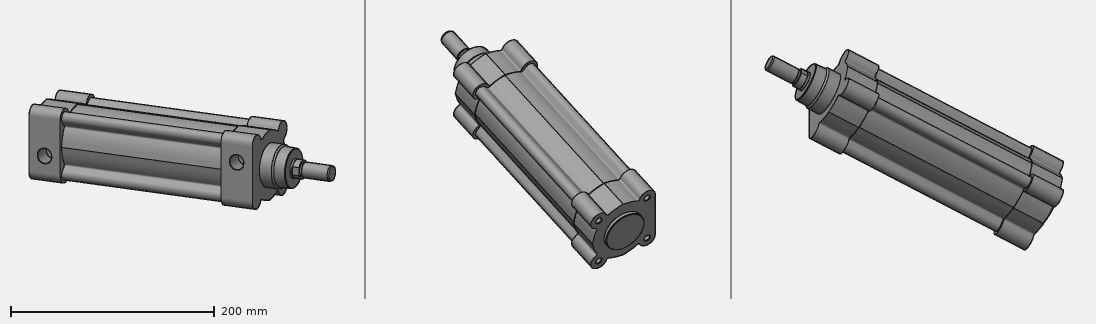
import cadquery as cq
import math


REAR_CAP_START = 4.0
CAP_LENGTH = 34.5
BARREL_START = REAR_CAP_START + CAP_LENGTH
BARREL_END = 215.5
FRONT_CAP_END = BARREL_END + CAP_LENGTH
TOTAL_LENGTH = 319.0

CORNERS = 4

CAP_BODY_RADIUS = 35.0
CAP_RIDGE_HALF_WIDTH = 8.0
CAP_LOBE_OFFSET = 28.5
CAP_LOBE_RADIUS = 9.5
CAP_FILLET = 2.0
CAP_SIDE = CAP_LOBE_OFFSET + CAP_LOBE_RADIUS

BARREL_RADIUS = 34.5
BARREL_RIDGE_HALF_WIDTH = 6.5
BARREL_LOBE_OFFSET = 28.7
BARREL_LOBE_RADIUS = 6.0
BARREL_FILLET = 1.5

BOSS_RADIUS = 22.3
BOSS_CHAMFER = 0.5
SCREW_HOLE_RADIUS = 3.2
SCREW_HOLE_CHAMFER = 0.5

PORT_RADIUS = 7.5
PORT_CHAMFER = 0.3
PORT_DEPTH = 19.0
PORT_HEIGHT = 10.2

COLLAR_RADIUS = BOSS_RADIUS
COLLAR_STRAIGHT_END = 263.2
NOSE_START = 265.0
NOSE_END = 277.2
NOSE_BASE_RADIUS = 20.7
NOSE_TIP_RADIUS = 20.0
NOSE_CHAMFER = 0.5

ROD_RADIUS = 10.0
FLATS_START = 279.8
FLATS_RADIUS = 9.5
FLATS_END = 286.8
FLATS_HALF_WIDTH = 8.5
FLATS_RAMP = 1.0
NECK_RADIUS = 7.3
THREAD_START = 288.7
THREAD_RADIUS = 8.0
THREAD_START_CHAMFER = THREAD_RADIUS - NECK_RADIUS
THREAD_END_CHAMFER_LENGTH = 1.5
THREAD_END_RADIUS = 7.3


def corner_point(along, across, corner):
    """Turn distances along and across a corner's diagonal into (Y, Z)."""
    angle = math.radians(45 + 360 / CORNERS * corner)
    y = along * math.cos(angle) - across * math.sin(angle)
    z = along * math.sin(angle) + across * math.cos(angle)
    return (y, z)


def arc_middle(center, radius, start, end):
    """Middle of the short arc from start to end about center."""
    dx = start[0] + end[0] - 2 * center[0]
    dy = start[1] + end[1] - 2 * center[1]
    scale = radius / math.hypot(dx, dy)
    return (center[0] + dx * scale, center[1] + dy * scale)


def lobed_outline(body_radius, ridge_half_width, lobe_offset, lobe_radius, fillet, straight_neck):
    """Closed YZ outline: a round body, a shallow ridge on each side and a lobe on each corner.

    One half corner is worked out as (along, across) its diagonal, then mirrored and turned.
    The ridge flats are tangent to the body. Each lobe is blended to the body by a concave
    fillet, either directly or by a straight neck as wide as the lobe.
    """
    lobe_along = lobe_offset * math.sqrt(2)
    center_reach = body_radius + fillet
    if straight_neck:
        fillet_across = lobe_radius + fillet
        fillet_along = math.sqrt(center_reach**2 - fillet_across**2)
        fillet_end = (fillet_along, lobe_radius)
        lobe_start = (lobe_along, lobe_radius)
    else:
        lobe_reach = lobe_radius + fillet
        fillet_along = (center_reach**2 - lobe_reach**2 + lobe_along**2) / (2 * lobe_along)
        fillet_across = math.sqrt(center_reach**2 - fillet_along**2)
        share = lobe_radius / lobe_reach
        fillet_end = (lobe_along + (fillet_along - lobe_along) * share, fillet_across * share)
        lobe_start = fillet_end
    fillet_center = (fillet_along, fillet_across)
    body_end = tuple(part * body_radius / center_reach for part in fillet_center)
    fillet_middle = arc_middle(fillet_center, fillet, body_end, fillet_end)

    ridge_angle = math.asin(ridge_half_width / body_radius)
    apex_part = body_radius / math.cos(ridge_angle) / math.sqrt(2)
    apex = (apex_part, apex_part)
    tangent_angle = math.pi / 4 - ridge_angle
    ridge_end = (body_radius * math.cos(tangent_angle), body_radius * math.sin(tangent_angle))
    body_middle = arc_middle((0, 0), body_radius, ridge_end, body_end)
    lobe_tip = (lobe_along + lobe_radius, 0)

    outline = cq.Workplane("YZ").moveTo(*corner_point(apex[0], -apex[1], 0))
    for corner in range(CORNERS):

        def leading(point):
            return corner_point(point[0], -point[1], corner)

        def trailing(point):
            return corner_point(point[0], point[1], corner)

        outline = outline.lineTo(*leading(ridge_end))
        outline = outline.threePointArc(leading(body_middle), leading(body_end))
        outline = outline.threePointArc(leading(fillet_middle), leading(fillet_end))
        if straight_neck:
            outline = outline.lineTo(*leading(lobe_start))
        outline = outline.threePointArc(leading(lobe_tip), trailing(lobe_start))
        if straight_neck:
            outline = outline.lineTo(*trailing(fillet_end))
        outline = outline.threePointArc(trailing(fillet_middle), trailing(body_end))
        outline = outline.threePointArc(trailing(body_middle), trailing(ridge_end))
        if corner < CORNERS - 1:
            outline = outline.lineTo(*trailing(apex))
    return outline.close()


def disc(start, end, radius):
    """Cylinder on the axis from start to end."""
    return cq.Workplane("YZ", origin=(start, 0, 0)).circle(radius).extrude(end - start)


def turned(profile):
    """Solid of revolution about the axis from (X, radius) points."""
    return cq.Workplane("XY").polyline(profile).close().revolve(360, (0, 0, 0), (1, 0, 0))


def cap_block(start, port_height):
    """Lobed cap with a flat -Y side and one air port in that side."""
    outline = lobed_outline(
        CAP_BODY_RADIUS, CAP_RIDGE_HALF_WIDTH, CAP_LOBE_OFFSET, CAP_LOBE_RADIUS, CAP_FILLET, False
    )
    lobed = outline.extrude(CAP_LENGTH).translate((start, 0, 0))
    flat_side = cq.Workplane("XY").box(
        CAP_LENGTH, CAP_SIDE, 2 * CAP_LOBE_OFFSET, centered=(False, False, True)
    ).translate((start, -CAP_SIDE, 0))
    port_mouth = cq.Workplane("XZ", origin=(start + CAP_LENGTH / 2, -CAP_SIDE, port_height))
    port = port_mouth.circle(PORT_RADIUS).extrude(-PORT_DEPTH)
    bevel = (
        port_mouth.circle(PORT_RADIUS + PORT_CHAMFER)
        .workplane(offset=-PORT_CHAMFER)
        .circle(PORT_RADIUS)
        .loft()
    )
    return lobed.union(flat_side).cut(port).cut(bevel)


def make_rear_cap():
    """Cap with a round boss on its outer face and a bevelled screw hole in each lobe."""
    boss = disc(0, REAR_CAP_START, BOSS_RADIUS).faces("<X").chamfer(BOSS_CHAMFER)
    cap = cap_block(REAR_CAP_START, -PORT_HEIGHT).union(boss)
    chamfer_end = REAR_CAP_START + SCREW_HOLE_CHAMFER
    screw_hole = turned([
        (REAR_CAP_START, 0),
        (REAR_CAP_START, SCREW_HOLE_RADIUS + SCREW_HOLE_CHAMFER),
        (chamfer_end, SCREW_HOLE_RADIUS),
        (BARREL_START, SCREW_HOLE_RADIUS),
        (BARREL_START, 0),
    ])
    for y in (-CAP_LOBE_OFFSET, CAP_LOBE_OFFSET):
        for z in (-CAP_LOBE_OFFSET, CAP_LOBE_OFFSET):
            cap = cap.cut(screw_hole.translate((0, y, z)))
    return cap


def make_barrel():
    """Ribbed barrel that fills the space between the caps."""
    outline = lobed_outline(
        BARREL_RADIUS, BARREL_RIDGE_HALF_WIDTH, BARREL_LOBE_OFFSET, BARREL_LOBE_RADIUS, BARREL_FILLET, True
    )
    return outline.extrude(BARREL_END - BARREL_START).translate((BARREL_START, 0, 0))


def make_front_cap():
    """Cap with a stepped collar, bored through for the rod."""
    collar = turned([
        (FRONT_CAP_END, 0),
        (FRONT_CAP_END, COLLAR_RADIUS),
        (COLLAR_STRAIGHT_END, COLLAR_RADIUS),
        (NOSE_START, NOSE_BASE_RADIUS),
        (NOSE_END, NOSE_TIP_RADIUS),
        (NOSE_END, 0),
    ])
    collar = collar.faces(">X").chamfer(NOSE_CHAMFER)
    rod_bore = disc(BARREL_END, NOSE_END, ROD_RADIUS)
    return cap_block(BARREL_END, PORT_HEIGHT).union(collar).cut(rod_bore)


def make_piston_rod():
    """Rod from the barrel face to its threaded end, with wrench flats before the neck."""
    rod = turned([
        (BARREL_END, 0),
        (BARREL_END, ROD_RADIUS),
        (FLATS_START, ROD_RADIUS),
        (FLATS_START, FLATS_RADIUS),
        (FLATS_END, FLATS_RADIUS),
        (FLATS_END, NECK_RADIUS),
        (THREAD_START, NECK_RADIUS),
        (THREAD_START + THREAD_START_CHAMFER, THREAD_RADIUS),
        (TOTAL_LENGTH - THREAD_END_CHAMFER_LENGTH, THREAD_RADIUS),
        (TOTAL_LENGTH, THREAD_END_RADIUS),
        (TOTAL_LENGTH, 0),
    ])
    flat_cut = (
        cq.Workplane("XY", origin=(0, 0, -ROD_RADIUS))
        .moveTo(FLATS_START - FLATS_RAMP, ROD_RADIUS)
        .lineTo(FLATS_START, FLATS_HALF_WIDTH)
        .lineTo(FLATS_END, FLATS_HALF_WIDTH)
        .lineTo(FLATS_END, ROD_RADIUS)
        .close()
        .extrude(2 * ROD_RADIUS)
    )
    return rod.cut(flat_cut).cut(flat_cut.mirror("XZ"))


rear_cap = make_rear_cap()
barrel = make_barrel()
front_cap = make_front_cap()
piston_rod = make_piston_rod()

result = cq.Compound.makeCompound([
    rear_cap.solids().val(),
    barrel.solids().val(),
    front_cap.solids().val(),
    piston_rod.solids().val(),
])